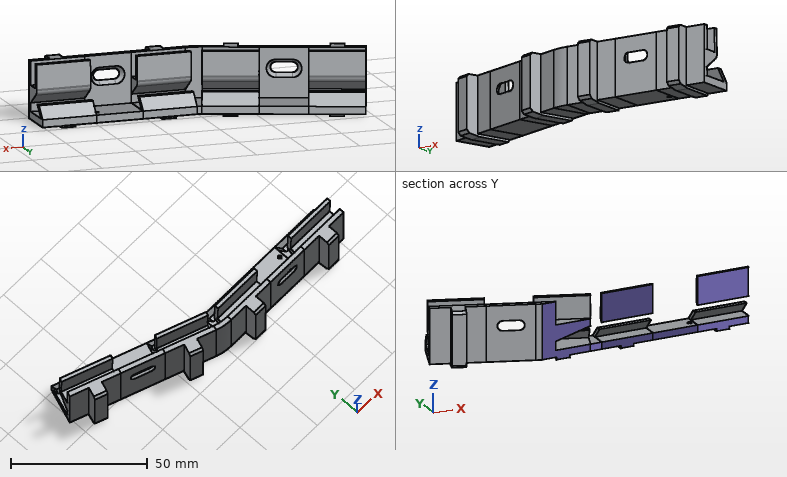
import cadquery as cq
import math


LENGTH = 123.2
BEND_ANGLE = 20.0
LIMB_LENGTH = 60.0
CLIP_LENGTH = 21.0
TRAY_LENGTH = LIMB_LENGTH - 2 * CLIP_LENGTH
DEPTH = 15.0
HEIGHT = 22.1

bend = math.radians(BEND_ANGLE)
BEND_RADIUS = (LENGTH - LIMB_LENGTH * (1 + math.cos(bend))) / math.sin(bend)

WALL = 2.0
FLOOR = 3.0
WALL_AND_FLOOR = [(0, 0), (DEPTH, 0), (DEPTH, FLOOR), (WALL, FLOOR), (WALL, HEIGHT), (0, HEIGHT)]

LIP_TOP = 7.4
LIP_LEAN = 4.0
LIP_THICKNESS = 2.0

SHELF_TOP = 13.0
SHELF_ROOT_Z = 6.3
SHELF_EDGE_Z = 11.3
PLATE_BACK = 8.6
PLATE_THICKNESS = 1.6
PLATE_LEAN = 0.4
PLATE_CORNER_RADIUS = 2.5

RIB_WIDTH = 5.3
RIB_REACH = 4.9
RIB_TOP_CHAMFER = 1.0
RIB_CHAMFER_FOOT_Z = -0.2
RIB_BOTTOM_CHAMFER = 1.2
FOOT_DROP = 1.0
FOOT_FRONT = 1.0
FOOT_BACK = 14.5
FOOT_BACK_CHAMFER = 0.5

SLOT_LENGTH = 10.0
SLOT_HEIGHT = 3.8
SLOT_Z = 14.0
SLOT_FLARE = 1.5

PIN_RADIUS = 0.4
HOLE_RADIUS = 0.7
PIN_X = 16.5
PIN_Y = 10.8


def extrude_along_x(outline, length):
    """Extrudes (y, z) points along +X from x = 0."""
    return cq.Workplane("YZ").polyline(outline).close().extrude(length)


def wall_and_floor(length):
    return extrude_along_x(WALL_AND_FLOOR, length)


def lip():
    outline = [
        (DEPTH, FLOOR),
        (DEPTH - LIP_LEAN, LIP_TOP),
        (DEPTH - LIP_LEAN - LIP_THICKNESS, LIP_TOP),
        (DEPTH - LIP_THICKNESS, FLOOR),
    ]
    return extrude_along_x(outline, CLIP_LENGTH)


def upper_channel():
    plate_front = PLATE_BACK - PLATE_THICKNESS
    outline = [
        (WALL, SHELF_ROOT_Z),
        (PLATE_BACK, SHELF_EDGE_Z),
        (PLATE_BACK, SHELF_TOP),
        (PLATE_BACK - PLATE_LEAN, HEIGHT),
        (plate_front - PLATE_LEAN, HEIGHT),
        (plate_front, SHELF_TOP),
        (WALL, SHELF_TOP),
    ]
    channel = extrude_along_x(outline, CLIP_LENGTH)
    lower_corner = cq.selectors.NearestToPointSelector((CLIP_LENGTH / 2, PLATE_BACK, SHELF_EDGE_Z))
    return channel.edges(lower_corner).fillet(PLATE_CORNER_RADIUS)


def rib():
    outline = [
        (WALL, HEIGHT),
        (RIB_TOP_CHAMFER - RIB_REACH, HEIGHT),
        (-RIB_REACH, HEIGHT - RIB_TOP_CHAMFER),
        (-RIB_REACH, RIB_CHAMFER_FOOT_Z + RIB_BOTTOM_CHAMFER),
        (RIB_BOTTOM_CHAMFER - RIB_REACH, RIB_CHAMFER_FOOT_Z),
        (FOOT_FRONT, -FOOT_DROP),
        (FOOT_BACK - FOOT_BACK_CHAMFER, -FOOT_DROP),
        (FOOT_BACK, 0),
        (WALL, 0),
    ]
    return extrude_along_x(outline, RIB_WIDTH).translate(((CLIP_LENGTH - RIB_WIDTH) / 2, 0, 0))


def make_clip():
    return wall_and_floor(CLIP_LENGTH).union(lip()).union(upper_channel()).union(rib())


def make_tray():
    slot = (
        cq.Workplane("XZ", origin=(TRAY_LENGTH / 2, 0, SLOT_Z))
        .slot2D(SLOT_LENGTH, SLOT_HEIGHT)
        .workplane(offset=-WALL)
        .slot2D(SLOT_LENGTH + 2 * SLOT_FLARE, SLOT_HEIGHT + 2 * SLOT_FLARE)
        .loft(ruled=True)
    )
    return wall_and_floor(TRAY_LENGTH).cut(slot)


def floor_cylinder(radius):
    return cq.Workplane("XY", origin=(PIN_X, PIN_Y, 0)).circle(radius).extrude(FLOOR)


def make_bend():
    """Sweeps the wall and floor section about the bend's centre, from the right limb's end."""
    return (
        cq.Workplane("YZ")
        .polyline(WALL_AND_FLOOR)
        .close()
        .revolve(BEND_ANGLE, (BEND_RADIUS, 0), (BEND_RADIUS, -1))
    )


def on_right_limb(body, start):
    return body.translate((start, 0, 0))


def on_left_limb(body, start):
    """Sets a body on the left limb, which ends at x = 0 before it turns about the bend's centre."""
    centre = (0, BEND_RADIUS, 0)
    axis_end = (0, BEND_RADIUS, 1)
    return body.translate((start - LIMB_LENGTH, 0, 0)).rotate(centre, axis_end, -BEND_ANGLE)


clip_starts = [0, LIMB_LENGTH - CLIP_LENGTH]
limbs = [on_left_limb, on_right_limb]
clips = [place(make_clip(), start) for place in limbs for start in clip_starts]

left_tray = on_left_limb(make_tray(), CLIP_LENGTH)
right_tray = on_right_limb(make_tray().cut(floor_cylinder(HOLE_RADIUS)), CLIP_LENGTH)
pin = on_right_limb(floor_cylinder(PIN_RADIUS), CLIP_LENGTH)
bend_tray = make_bend()

result = cq.Compound.makeCompound(
    [clip.val() for clip in clips]
    + [left_tray.val(), right_tray.val(), bend_tray.val(), pin.val()]
)